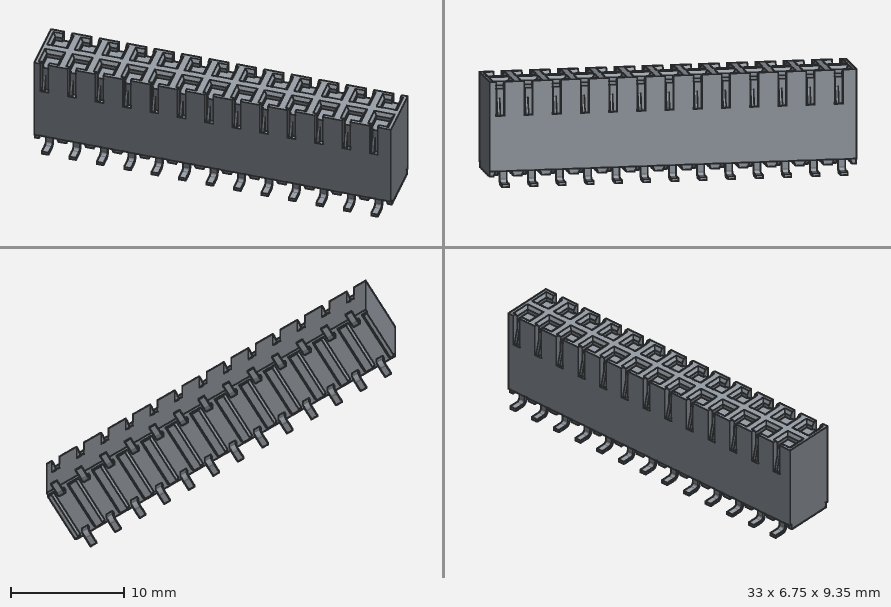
import cadquery as cq


positions = 13
body_length = 33.0
pitch = body_length / positions
body_width = 2 * pitch
overall_width = 6.75
overall_height = 9.35

body_bottom = 0.8
standoff_height = 0.5
side_step = 0.23
standoff_base = 1.12
standoff_tip = 0.73

mouth_size = 1.88
pocket_size = 1.4
mouth_depth = 0.33
pocket_depth = 0.7

slot_width = 0.75
slot_offset = 0.33
slot_height = 3.07
slot_depth = 0.4
groove_width = 0.13
wedge_width = 0.25
wedge_top = 1.55
wedge_shoulder = 2.87
wedge_reach = 0.33

pin_width = 0.63
pin_thickness = 0.25
pin_setback = 0.35
bend_radius = 0.25

half_length = body_length / 2
half_width = body_width / 2
row_y = pitch / 2
slot_floor = overall_height - slot_height
pocket_floor = overall_height - pocket_depth
channel_top = body_bottom + standoff_height
pin_x = [(i - (positions - 1) / 2) * pitch for i in range(positions)]


def box(x0, x1, y0, y1, z0, z1):
    """Axis-aligned block between two opposite corners."""
    return cq.Workplane("XY").box(x1 - x0, y1 - y0, z1 - z0, centered=False).translate((x0, y0, z0))


def copies(shape):
    """Front-row shape at every position, plus its half-turn copies in the back row."""
    front = [shape.val().translate(cq.Vector(x, 0, 0)) for x in pin_x]
    back = [item.rotate(cq.Vector(0, 0, 0), cq.Vector(0, 0, 1), 180) for item in front]
    return cq.Workplane(obj=cq.Compound.makeCompound(front + back))


def make_body():
    """Plain housing with standoffs left between the cross channels of its underside."""
    body = box(-half_length, half_length, -half_width, half_width, channel_top, overall_height)
    foot_half_width = half_width - side_step
    base = box(-half_length, half_length, -foot_half_width, foot_half_width, body_bottom, channel_top)
    channel = (
        cq.Workplane("XZ", origin=(0, half_width, 0))
        .moveTo(-(pitch - standoff_tip) / 2, body_bottom)
        .lineTo((pitch - standoff_tip) / 2, body_bottom)
        .lineTo((pitch - standoff_base) / 2, channel_top)
        .lineTo(-(pitch - standoff_base) / 2, channel_top)
        .close()
        .extrude(body_width)
    )
    for x in pin_x:
        base = base.cut(channel.translate((x, 0, 0)))
    return body.union(base)


def make_socket():
    """Tapered mouth and square pocket of one front-row socket."""
    mouth = (
        cq.Workplane("XY", origin=(0, -row_y, overall_height))
        .rect(mouth_size, mouth_size)
        .workplane(offset=-mouth_depth)
        .rect(pocket_size, pocket_size)
        .loft(ruled=True)
    )
    pocket = (
        cq.Workplane("XY", origin=(0, -row_y, pocket_floor))
        .rect(pocket_size, pocket_size)
        .extrude(pocket_depth - mouth_depth)
    )
    return mouth.union(pocket)


def make_slot():
    """Side slot of one front-row socket, open to the pocket above its floor, around a wedge."""
    left = -slot_offset - slot_width / 2
    right = left + slot_width
    wedge_left = left + groove_width
    back = -half_width + slot_depth
    pocket_edge = -row_y - pocket_size / 2
    slot = box(left, right, -half_width, back, slot_floor, overall_height)
    gate = box(left, right, -half_width, pocket_edge, pocket_floor, overall_height)
    groove = box(left, wedge_left, -half_width, pocket_edge, slot_floor, pocket_floor)
    wedge = (
        cq.Workplane("YZ", origin=(wedge_left, 0, 0))
        .moveTo(back, overall_height - wedge_top)
        .lineTo(back - wedge_reach, overall_height - wedge_shoulder)
        .lineTo(back - wedge_reach, slot_floor)
        .lineTo(back, slot_floor)
        .close()
        .extrude(wedge_width)
    )
    return slot.union(gate).union(groove).cut(wedge)


def make_pin():
    """Front-row pin: a short vertical leg bent outward into a flat foot."""
    outer_y = -half_width + pin_setback
    inner_y = outer_y + pin_thickness
    tip_y = -overall_width / 2
    outside_radius = bend_radius + pin_thickness
    bend_y = outer_y - bend_radius
    profile = (
        cq.Workplane("YZ", origin=(-pin_width / 2, 0, 0))
        .moveTo(tip_y, 0)
        .lineTo(bend_y, 0)
        .radiusArc((inner_y, outside_radius), -outside_radius)
        .lineTo(inner_y, channel_top)
        .lineTo(outer_y, channel_top)
        .lineTo(outer_y, outside_radius)
        .radiusArc((bend_y, pin_thickness), bend_radius)
        .lineTo(tip_y, pin_thickness)
        .close()
    )
    return profile.extrude(pin_width)


result = (
    make_body()
    .cut(copies(make_socket().union(make_slot())))
    .union(copies(make_pin()))
)